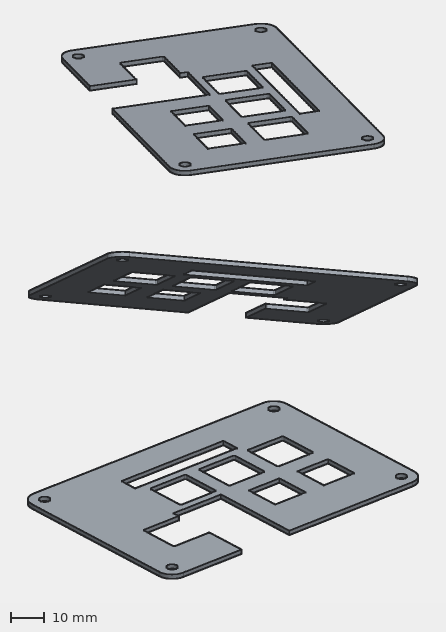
import cadquery as cq

length = 100.0
width = 68.0
thickness = 1.5
corner_radius = 5.0
hole_diameter = 3.4
hole_inset = corner_radius

key_pitch = 19.1
key_size = 14.0
key_corner_radius = 0.5
key_centre_x = 9.3
key_row_y = 6.8
lower_row_y = key_row_y - key_pitch
key_centres = [(key_centre_x + step * key_pitch, key_row_y) for step in (-1, 0, 1)]
key_centres.append((key_centre_x - 2 * key_pitch, lower_row_y))

small_size = 12.0
small_first_x = 10.7
small_centres = [(small_first_x + step * key_pitch, lower_row_y) for step in (0, 1)]

window_length = 40.0
window_height = 6.2
window_y = 19.9

notch_left = -22.0
notch_right = -3.3
notch_top = -2.9


def box_cutter(size_x, size_y, centres):
    """Rectangular cutters through the plate thickness."""
    return (
        cq.Workplane("XY")
        .pushPoints(centres)
        .rect(size_x, size_y)
        .extrude(thickness)
    )


def make_plate():
    """Rounded plate with a mounting hole near each corner."""
    plate = cq.Workplane("XY").rect(length, width).extrude(thickness)
    plate = plate.edges("|Z").fillet(corner_radius)
    return (
        plate.faces(">Z")
        .workplane()
        .rect(length - 2 * hole_inset, width - 2 * hole_inset, forConstruction=True)
        .vertices()
        .hole(hole_diameter)
    )


keys = box_cutter(key_size, key_size, key_centres).edges("|Z").fillet(key_corner_radius)
small_openings = box_cutter(small_size, small_size, small_centres)
window = box_cutter(window_length, window_height, [(0, window_y)])

notch_bottom = -width / 2
notch_centre = ((notch_left + notch_right) / 2, (notch_top + notch_bottom) / 2)
notch = box_cutter(notch_right - notch_left, notch_top - notch_bottom, [notch_centre])

result = make_plate().cut(keys).cut(small_openings).cut(window).cut(notch)